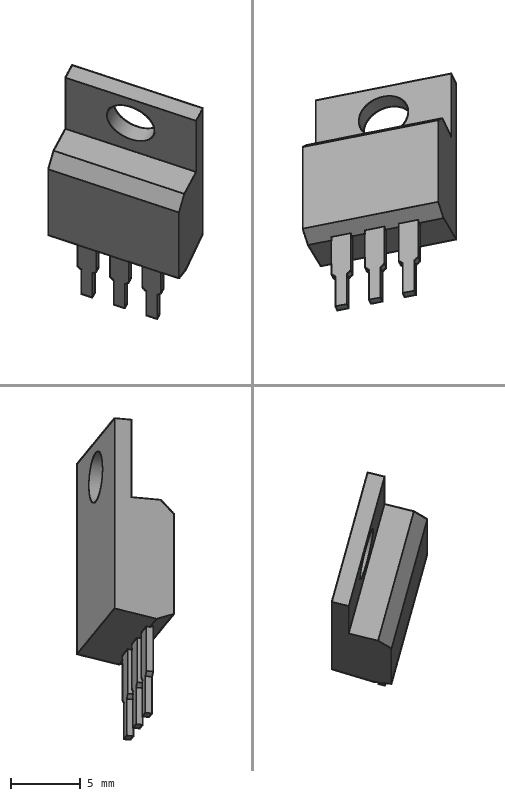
import cadquery as cq

width = 10.25
depth = 4.46
height = 21.56

tab_thickness = 1.27
tab_height = 5.93
hole_diameter = 3.73
hole_from_top = 2.77

body_top = height - tab_height
top_chamfer = 1.0
body_side_bottom = 6.98
bottom_ridge_drop = 0.50

lead_count = 3
lead_pitch = 2.54
lead_thickness = 0.51
lead_back_offset = 2.90
lead_wide = 1.47
lead_narrow = 0.87
taper_height = 0.30
taper_bottom = 2.80

back_y = 0.0
front_y = back_y - depth
tab_front_y = back_y - tab_thickness
lead_back_y = back_y - lead_back_offset
lead_front_y = lead_back_y - lead_thickness
ridge_y = (lead_back_y + lead_front_y) / 2
ridge_z = body_side_bottom - bottom_ridge_drop
taper_top = taper_bottom + taper_height
lead_root = body_side_bottom


def make_body_and_tab():
    """Side profile of the body and tab in the YZ plane, extruded across the width."""
    profile = [
        (back_y, height),
        (tab_front_y, height),
        (tab_front_y, body_top),
        (front_y + top_chamfer, body_top),
        (front_y, body_top - top_chamfer),
        (front_y, body_side_bottom),
        (ridge_y, ridge_z),
        (back_y, body_side_bottom),
    ]
    return cq.Workplane("YZ").polyline(profile).close().extrude(width / 2, both=True)


def make_mounting_hole():
    """Cylinder through the tab along Y."""
    return (
        cq.Workplane("XZ", origin=(0, back_y, height - hole_from_top))
        .circle(hole_diameter / 2)
        .extrude(tab_thickness)
    )


def make_lead(center_x):
    """Flat lead, wide at the body and tapering to a narrow tip; its root is embedded in the body."""
    half_wide = lead_wide / 2
    half_narrow = lead_narrow / 2
    outline = [
        (-half_wide, lead_root),
        (-half_wide, taper_top),
        (-half_narrow, taper_bottom),
        (-half_narrow, 0),
        (half_narrow, 0),
        (half_narrow, taper_bottom),
        (half_wide, taper_top),
        (half_wide, lead_root),
    ]
    return (
        cq.Workplane("XZ", origin=(center_x, lead_back_y, 0))
        .polyline(outline)
        .close()
        .extrude(lead_thickness)
    )


result = make_body_and_tab().cut(make_mounting_hole())
for index in range(lead_count):
    lead_x = (index - (lead_count - 1) / 2) * lead_pitch
    result = result.union(make_lead(lead_x))